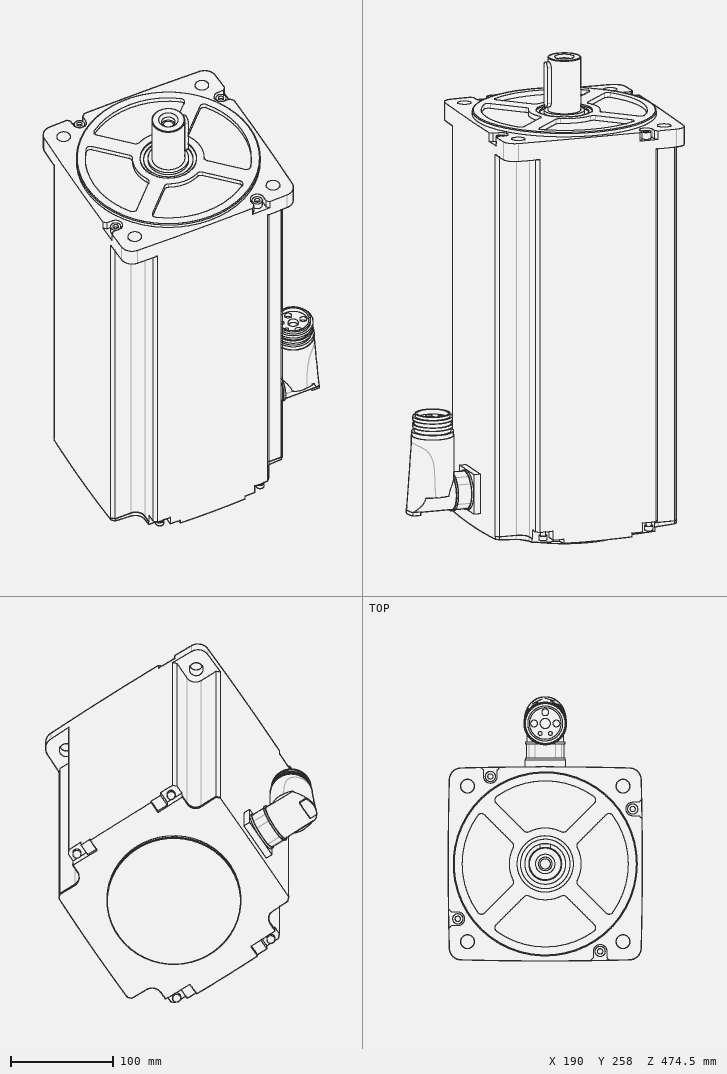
import cadquery as cq
import math

WIDTH = 190.0
HALF = WIDTH / 2
HEIGHT = 474.5

FLANGE_BOTTOM = 398.5
FLANGE_TOP = 416.5
PILOT_TOP = 421.0
COVER_TOP = 13.8

SIDE_BULGE = 1.5
CORNER_RADIUS = 12.0

GROOVE_WALL = 63.5
GROOVE_CHAMFER = 4.0
GROOVE_RADIUS = 10.0
COVER_GROOVE_OFFSET = 0.5

FOOT_RADIUS = 65.5
FOOT_HEIGHT = 6.5
FOOT_STEP = 0.5
FOOT_STEP_HEIGHT = 2.5
UNDERSIDE_SLOPE = 0.09

RECESS_DEPTH = 12.5
RECESS_INNER_Y = 46.5
RECESS_TOP = 23.0
COVER_RECESS_INNER_Y = 35.5
COVER_SCREW_DIAMETER = 8.0
COVER_SCREW_HEAD_TOP = 18.0
COVER_SHANK_DIAMETER = 5.0

MOUNT_HOLE_DIAMETER = 13.5
MOUNT_HOLE_OFFSET = 76.0
PILOT_DIAMETER = 180.0
PILOT_CHAMFER = 1.0

SCREW_ACROSS = 53.5
SCREW_OUT = 85.5
SCREW_POCKET_DIAMETER = 13.5
SCREW_POCKET_DEPTH = 8.5
SCREW_MOUTH_WIDTH = 20.0
SCREW_MOUTH_DEPTH = 3.5
SCREW_HEAD_DIAMETER = 10.0
SCREW_HEAD_HEIGHT = 6.5
SCREW_SOCKET_DIAMETER = 5.0
SCREW_SOCKET_DEPTH = 3.5

SECTOR_OUTER_RADIUS = 81.0
SECTOR_INNER_RADIUS = 35.0
SECTOR_DEPTH = 4.7
SECTOR_FILLET = 4.5
WEB_WIDTH = 16.0

SEAL_OUTER_DIAMETER = 55.0
SEAL_INNER_DIAMETER = 40.0
SEAL_STEP_DIAMETER = 48.5
SEAL_STEP_DEPTH = 1.5
SEAL_DEPTH = 3.0

SHAFT_DIAMETER = 32.5
SHAFT_CHAMFER = 0.7
CENTRE_MOUTH_DIAMETER = 19.0
CENTRE_STEP_DIAMETER = 13.5
CENTRE_BORE_DIAMETER = 10.0
CENTRE_STEP_DEPTH = 7.0
CENTRE_BORE_DEPTH = 19.0
KEY_WIDTH = 10.0
KEY_LENGTH = 45.5
KEY_TOP = 470.5
KEY_OUTER_Y = 19.5

INLET_Z = 47.0
BASE_SIZE = 40.0
BASE_END = 101.5
NUT_END = 119.0
NUT_RADIUS = 19.5
NUT_GRIP_RADIUS = 18.5
NUT_FLAT_DISTANCE = 18.0
NUT_COLLAR = 2.0
ELBOW_RADIUS = 18.0
ELBOW_BACK = 163.0
LIP_LENGTH = 10.5
LIP_HEIGHT = 2.5
LIP_WIDTH = 19.0
PLUG_Y = 137.0
PLUG_RADIUS = 21.0
BACK_RADIUS = 20.5
BARREL_TOP = 105.5
PLUG_TOP = 127.0
THREAD_RADIUS = 19.5
THREAD_ROOT_RADIUS = 18.0
RIM_RADIUS = 17.0
COLLAR_RADIUS = 20.5
COLLAR_TOP = 109.5
THREAD_TOP = 124.5
THREAD_RIDGE = 3.5
RIDGE_COUNT = 2
SOCKET_DIAMETER = 31.0
SOCKET_DEPTH = 4.7
CONTACT_DEPTH = 4.7
CONTACT_CIRCLE_RADIUS = 11.0
CENTRE_CONTACT_DIAMETER = 10.0
LARGE_CONTACT_DIAMETER = 6.5
SMALL_CONTACT_DIAMETER = 4.0
LARGE_CONTACT_ANGLES = (0, 90, 180)
SMALL_CONTACT_ANGLES = (243, 297)


def cylinder(diameter, bottom, top, x=0.0, y=0.0):
    """Upright cylinder between two heights."""
    return cq.Workplane("XY", origin=(x, y, bottom)).circle(diameter / 2).extrude(top - bottom)


def cylinder_along_y(radius, start, end):
    """Cylinder about the inlet axis between two Y positions."""
    plane = cq.Plane(origin=(0, start, INLET_Z), xDir=(1, 0, 0), normal=(0, 1, 0))
    return cq.Workplane(plane).circle(radius).extrude(end - start)


def block(x_range, y_range, z_range):
    """Box given by its limits along each axis."""
    sizes = [high - low for low, high in (x_range, y_range, z_range)]
    return cq.Workplane("XY").box(*sizes, centered=False).translate((x_range[0], y_range[0], z_range[0]))


def around_axis(shape, count=4):
    """Equally spaced copies of a shape turned about the motor axis."""
    return [shape.rotate((0, 0, 0), (0, 0, 1), 360 / count * step) for step in range(count)]


def bulged_block(bottom, top):
    """Square block with slightly convex sides and rounded vertical edges."""
    corner = HALF - SIDE_BULGE
    outline = (
        cq.Workplane("XY", origin=(0, 0, bottom))
        .moveTo(-corner, -corner)
        .threePointArc((0, -HALF), (corner, -corner))
        .threePointArc((HALF, 0), (corner, corner))
        .threePointArc((0, HALF), (-corner, corner))
        .threePointArc((-HALF, 0), (-corner, -corner))
        .close()
    )
    return outline.extrude(top - bottom).edges("|Z").fillet(CORNER_RADIUS)


def corner_groove(wall, bottom, top):
    """Tool that removes the corner at -X -Y: two walls, a round inner corner and chamfered mouths."""
    outside = HALF + 4.7
    lip = HALF - GROOVE_CHAMFER
    mouth = wall - GROOVE_CHAMFER - (outside - HALF)
    centre = wall + GROOVE_RADIUS
    middle = centre - GROOVE_RADIUS * math.sqrt(0.5)
    return (
        cq.Workplane("XY", origin=(0, 0, bottom))
        .moveTo(-outside, -outside)
        .lineTo(-outside, -mouth)
        .lineTo(-lip, -wall)
        .lineTo(-centre, -wall)
        .threePointArc((-middle, -middle), (-wall, -centre))
        .lineTo(-wall, -lip)
        .lineTo(-mouth, -outside)
        .close()
        .extrude(top - bottom)
    )


def underside():
    """Solid of revolution that keeps the foot disc and the shallow conical underside."""
    reach = WIDTH
    rise = (reach - FOOT_RADIUS) * UNDERSIDE_SLOPE
    return (
        cq.Workplane("XZ")
        .polyline([
            (0, 0),
            (FOOT_RADIUS - FOOT_STEP, 0),
            (FOOT_RADIUS - FOOT_STEP, FOOT_STEP_HEIGHT),
            (FOOT_RADIUS, FOOT_STEP_HEIGHT),
            (FOOT_RADIUS, FOOT_HEIGHT),
            (reach, FOOT_HEIGHT + rise),
            (reach, HEIGHT),
            (0, HEIGHT),
        ])
        .close()
        .revolve(360, (0, 0), (0, 1))
    )


def cut_cover_recesses(body):
    """Open recesses beside the grooves on the X faces, each with a screw head."""
    depth_range = (HALF - RECESS_DEPTH, HALF + 4.7)
    outer_y = GROOVE_WALL + 4.7
    recess = block(depth_range, (RECESS_INNER_Y, outer_y), (0, RECESS_TOP))
    recess = recess.union(block(depth_range, (COVER_RECESS_INNER_Y, outer_y), (0, COVER_TOP)))
    screw_y = (RECESS_INNER_Y + GROOVE_WALL) / 2
    screw_x = HALF - RECESS_DEPTH / 2
    head = cylinder(COVER_SCREW_DIAMETER, COVER_TOP, COVER_SCREW_HEAD_TOP, screw_x, screw_y)
    shank = cylinder(COVER_SHANK_DIAMETER, COVER_SCREW_HEAD_TOP, RECESS_TOP, screw_x, screw_y)
    tool = recess.cut(head.union(shank))
    for side in (tool, tool.mirror("YZ")):
        body = body.cut(side).cut(side.mirror("XZ"))
    return body


def sector_pocket():
    """Pocket between two diagonal webs, on the +X side of the shaft."""
    bottom = PILOT_TOP - SECTOR_DEPTH
    ring = cylinder(2 * SECTOR_OUTER_RADIUS, bottom, PILOT_TOP)
    ring = ring.cut(cylinder(2 * SECTOR_INNER_RADIUS, bottom, PILOT_TOP))
    apex = WEB_WIDTH * math.sqrt(0.5)
    wedge = (
        cq.Workplane("XY", origin=(0, 0, bottom))
        .polyline([(apex, 0), (HALF + apex, HALF), (HALF + apex, -HALF)])
        .close()
        .extrude(SECTOR_DEPTH)
    )
    return ring.intersect(wedge).edges("|Z").fillet(SECTOR_FILLET)


def flange_screw_pocket():
    """Pocket tool on the -Y side of the flange, leaving the socket screw head standing."""
    bottom = FLANGE_TOP - SCREW_POCKET_DEPTH
    half_width = SCREW_POCKET_DIAMETER / 2
    pocket = cylinder(SCREW_POCKET_DIAMETER, bottom, PILOT_TOP, SCREW_ACROSS, -SCREW_OUT)
    half_mouth = SCREW_MOUTH_WIDTH / 2
    flare_start = SCREW_MOUTH_DEPTH - HALF
    mouth = (
        cq.Workplane("XY", origin=(SCREW_ACROSS, 0, bottom))
        .polyline([
            (-half_width, -SCREW_OUT),
            (-half_width, flare_start),
            (-half_mouth, -HALF),
            (half_mouth, -HALF),
            (half_width, flare_start),
            (half_width, -SCREW_OUT),
        ])
        .close()
        .extrude(PILOT_TOP - bottom)
    )
    head_top = bottom + SCREW_HEAD_HEIGHT
    head = cylinder(SCREW_HEAD_DIAMETER, bottom, head_top, SCREW_ACROSS, -SCREW_OUT)
    socket = cylinder(
        SCREW_SOCKET_DIAMETER, head_top - SCREW_SOCKET_DEPTH, head_top, SCREW_ACROSS, -SCREW_OUT
    )
    return pocket.union(mouth).cut(head.cut(socket))


def seal_groove():
    """Stepped ring groove between the pilot face and the shaft."""
    shallow = cylinder(SEAL_OUTER_DIAMETER, PILOT_TOP - SEAL_STEP_DEPTH, PILOT_TOP)
    deep = cylinder(SEAL_STEP_DIAMETER, PILOT_TOP - SEAL_DEPTH, PILOT_TOP)
    hub = cylinder(SEAL_INNER_DIAMETER, PILOT_TOP - SEAL_DEPTH, PILOT_TOP)
    return shallow.union(deep).cut(hub)


def centre_hole():
    """Threading centre hole in the shaft end, with a countersink, a step and a drill point."""
    mouth = CENTRE_MOUTH_DIAMETER / 2
    step = CENTRE_STEP_DIAMETER / 2
    bore = CENTRE_BORE_DIAMETER / 2
    return (
        cq.Workplane("XZ")
        .polyline([
            (0, HEIGHT),
            (mouth, HEIGHT),
            (step, HEIGHT - (mouth - step)),
            (step, HEIGHT - CENTRE_STEP_DEPTH),
            (bore, HEIGHT - CENTRE_STEP_DEPTH),
            (bore, HEIGHT - CENTRE_BORE_DEPTH),
            (0, HEIGHT - CENTRE_BORE_DEPTH - bore),
        ])
        .close()
        .revolve(360, (0, 0), (0, 1))
    )


def shaft_with_key():
    """Drive shaft with its round-ended key on the +Y side."""
    shaft = cylinder(SHAFT_DIAMETER, FLANGE_TOP - 4.7, HEIGHT).faces(">Z").chamfer(SHAFT_CHAMFER)
    key = (
        cq.Workplane("XZ", origin=(0, 0, KEY_TOP - KEY_LENGTH / 2))
        .slot2D(KEY_LENGTH, KEY_WIDTH, 90)
        .extrude(-KEY_OUTER_Y)
    )
    return shaft.union(key).cut(centre_hole())


def make_motor():
    body = bulged_block(0, FLANGE_TOP).intersect(underside())
    for groove in around_axis(corner_groove(GROOVE_WALL, COVER_TOP, FLANGE_BOTTOM)):
        body = body.cut(groove)
    for groove in around_axis(corner_groove(GROOVE_WALL + COVER_GROOVE_OFFSET, 0, COVER_TOP)):
        body = body.cut(groove)
    body = cut_cover_recesses(body)

    for hole in around_axis(
        cylinder(MOUNT_HOLE_DIAMETER, FLANGE_BOTTOM, FLANGE_TOP, MOUNT_HOLE_OFFSET, MOUNT_HOLE_OFFSET)
    ):
        body = body.cut(hole)
    for pocket in around_axis(flange_screw_pocket()):
        body = body.cut(pocket)

    pilot = cylinder(PILOT_DIAMETER, FLANGE_TOP, PILOT_TOP).faces(">Z").edges().chamfer(PILOT_CHAMFER)
    body = body.union(pilot)
    for pocket in around_axis(sector_pocket()):
        body = body.cut(pocket)
    return body.cut(seal_groove()).union(shaft_with_key())


def coupling_nut():
    """Round nut with four flats between two collars."""
    nut = cylinder_along_y(NUT_GRIP_RADIUS, BASE_END, NUT_END)
    flat_length = NUT_END - BASE_END - 2 * NUT_COLLAR
    middle_y = (BASE_END + NUT_END) / 2
    for angle in (45, 135, 225, 315):
        cutter = (
            cq.Workplane("XY")
            .box(9.5, flat_length, WIDTH)
            .translate((NUT_FLAT_DISTANCE + 4.7, middle_y, 0))
            .rotate((0, 0, 0), (0, 1, 0), angle)
            .translate((0, 0, INLET_Z))
        )
        nut = nut.cut(cutter)
    nut = nut.union(cylinder_along_y(NUT_RADIUS, BASE_END, BASE_END + NUT_COLLAR))
    return nut.union(cylinder_along_y(NUT_RADIUS, NUT_END - NUT_COLLAR, NUT_END))


def elbow():
    """Inlet tube turning up into the plug barrel, with a round back that leans out towards the bottom."""
    tube_bottom = INLET_Z - ELBOW_RADIUS
    tube = cylinder_along_y(ELBOW_RADIUS, NUT_END, ELBOW_BACK)
    barrel = cylinder(2 * PLUG_RADIUS, INLET_Z, BARREL_TOP, 0, PLUG_Y)
    barrel = barrel.cut(block((-HALF, HALF), (0, NUT_END), (0, INLET_Z + NUT_RADIUS)))

    lean = ELBOW_BACK - BACK_RADIUS - PLUG_Y
    back = (
        cq.Workplane("XY", origin=(0, PLUG_Y + lean, tube_bottom))
        .circle(BACK_RADIUS)
        .workplane(offset=BARREL_TOP - tube_bottom)
        .center(0, -lean)
        .circle(BACK_RADIUS)
        .loft()
    )
    upper = back.intersect(block((-HALF, HALF), (0, WIDTH), (INLET_Z, BARREL_TOP)))
    lower = back.intersect(tube)
    inlet = tube.intersect(block((-HALF, HALF), (0, PLUG_Y), (0, HEIGHT)))

    lip = block(
        (-LIP_WIDTH / 2, LIP_WIDTH / 2),
        (ELBOW_BACK - LIP_LENGTH, ELBOW_BACK),
        (tube_bottom - LIP_HEIGHT / 2, tube_bottom + LIP_HEIGHT),
    )
    lip = lip.intersect(cylinder(2 * BACK_RADIUS, 0, INLET_Z, 0, PLUG_Y + lean))
    return inlet.union(lower).union(upper).union(barrel).union(lip)


def plug_end():
    """Collar, ridged thread and rim above the barrel, with the contact socket."""
    plug = cylinder(2 * COLLAR_RADIUS, BARREL_TOP, COLLAR_TOP, 0, PLUG_Y)
    plug = plug.union(cylinder(2 * THREAD_ROOT_RADIUS, COLLAR_TOP, THREAD_TOP, 0, PLUG_Y))
    plug = plug.union(cylinder(2 * RIM_RADIUS, THREAD_TOP, PLUG_TOP, 0, PLUG_Y))
    pitch = (THREAD_TOP - COLLAR_TOP) / RIDGE_COUNT
    for ridge in range(RIDGE_COUNT):
        top = THREAD_TOP - ridge * pitch
        plug = plug.union(cylinder(2 * THREAD_RADIUS, top - THREAD_RIDGE, top, 0, PLUG_Y))

    floor = PLUG_TOP - SOCKET_DEPTH
    plug = plug.cut(cylinder(SOCKET_DIAMETER, floor, PLUG_TOP, 0, PLUG_Y))
    contact_bottom = floor - CONTACT_DEPTH
    plug = plug.cut(cylinder(CENTRE_CONTACT_DIAMETER, contact_bottom, floor, 0, PLUG_Y))
    contacts = [(angle, LARGE_CONTACT_DIAMETER) for angle in LARGE_CONTACT_ANGLES]
    contacts += [(angle, SMALL_CONTACT_DIAMETER) for angle in SMALL_CONTACT_ANGLES]
    for angle, diameter in contacts:
        x = CONTACT_CIRCLE_RADIUS * math.cos(math.radians(angle))
        y = PLUG_Y + CONTACT_CIRCLE_RADIUS * math.sin(math.radians(angle))
        plug = plug.cut(cylinder(diameter, contact_bottom, floor, x, y))
    return plug


def make_connector(motor):
    """Angled connector whose square base fits the convex +Y side of the motor."""
    half_base = BASE_SIZE / 2
    base = block(
        (-half_base, half_base),
        (HALF - SIDE_BULGE, BASE_END),
        (INLET_Z - half_base, INLET_Z + half_base),
    ).cut(motor)
    return base.union(coupling_nut()).union(elbow()).union(plug_end())


motor = make_motor()
connector = make_connector(motor)

result = cq.Compound.makeCompound([motor.solids().val(), connector.solids().val()])